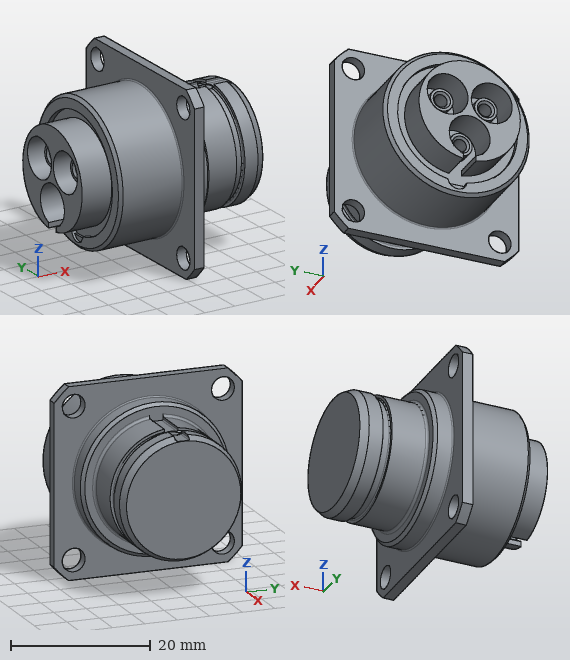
import cadquery as cq
import math


body_front = 4.2
recess_floor = 5.0
flange_front = 14.85
flange_rear = 16.5
body_rear = 19.5
groove_front = 25.2
groove_rear = 26.6
rear_end = 30.0

body_radius = 11.5
body_chamfer = 0.5
flange_fillet = 0.2
spigot_radius = 9.4
spigot_root_fillet = 0.4
groove_radius = 8.77
groove_fillet = 0.2
nose_length = 1.2
nose_drop = 0.6

flange_side = 29.0
flange_corner_radius = 19.0
mount_hole_diameter = 3.5
mount_hole_offset = 11.5

recess_radius = 9.4
insert_radius = 7.95
contact_circle_radius = 4.0
pocket_radius = 3.2
pocket_depth = recess_floor
contact_radius = 1.77
contact_places = ((30, 2.0), (150, 2.0), (270, 3.0))
contact_bore_radius = 1.0
contact_bore_depth = 4.0
contact_lead_in = 0.35
insert_slot_width = 2.0

notch_radius = 1.5
notch_center_z = -9.05
notch_depth = recess_floor - body_front
notch_step_z = -9.75
notch_step_depth = notch_depth / 2

keyway_width = 2.1
keyway_floor_z = 8.83
keyway_fillet = 0.2
spot_diameter = 2.0
spot_floor_z = 8.7


def disc(radius, start, end, y=0.0, z=0.0):
    """Cylinder along X between two axial positions."""
    return cq.Workplane("YZ", origin=(start, y, z)).circle(radius).extrude(end - start)


def make_shell():
    """Solid of revolution for the body, spigot and retaining groove."""
    flange_root = body_radius + flange_fillet
    spigot_root = spigot_radius + spigot_root_fillet
    groove_root = groove_radius + groove_fillet
    arc = math.sqrt(0.5)

    def hollow_arc(sketch, center, radius, toward, end):
        """Concave quarter arc bulging from its center toward the given corner signs."""
        middle = (center[0] + toward[0] * radius * arc, center[1] + toward[1] * radius * arc)
        return sketch.threePointArc(middle, end)

    profile = cq.Workplane("XY").moveTo(body_front, 0)
    profile = profile.lineTo(body_front, body_radius - body_chamfer)
    profile = profile.lineTo(body_front + body_chamfer, body_radius)

    front_x = flange_front - flange_fillet
    profile = profile.lineTo(front_x, body_radius)
    profile = hollow_arc(profile, (front_x, flange_root), flange_fillet, (1, -1), (flange_front, flange_root))

    rear_x = flange_rear + flange_fillet
    profile = profile.lineTo(flange_rear, flange_root)
    profile = hollow_arc(profile, (rear_x, flange_root), flange_fillet, (-1, -1), (rear_x, body_radius))
    profile = profile.lineTo(body_rear - body_chamfer, body_radius)
    profile = profile.lineTo(body_rear, body_radius - body_chamfer)

    root_x = body_rear + spigot_root_fillet
    profile = profile.lineTo(body_rear, spigot_root)
    profile = hollow_arc(profile, (root_x, spigot_root), spigot_root_fillet, (-1, -1), (root_x, spigot_radius))

    left_x = groove_front + groove_fillet
    right_x = groove_rear - groove_fillet
    profile = profile.lineTo(groove_front, spigot_radius).lineTo(groove_front, groove_root)
    profile = hollow_arc(profile, (left_x, groove_root), groove_fillet, (-1, -1), (left_x, groove_radius))
    profile = profile.lineTo(right_x, groove_radius)
    profile = hollow_arc(profile, (right_x, groove_root), groove_fillet, (1, -1), (groove_rear, groove_root))

    profile = profile.lineTo(groove_rear, spigot_radius)
    profile = profile.lineTo(rear_end - nose_length, spigot_radius)
    profile = profile.lineTo(rear_end, spigot_radius - nose_drop)
    profile = profile.lineTo(rear_end, 0).close()
    return profile.revolve(360, (0, 0, 0), (1, 0, 0))


def make_flange():
    """Square plate with arc corners and four mounting holes."""
    thickness = flange_rear - flange_front
    plate = cq.Workplane("YZ", origin=(flange_front, 0, 0)).rect(flange_side, flange_side).extrude(thickness)
    plate = plate.intersect(disc(flange_corner_radius, flange_front, flange_rear))
    for y in (-mount_hole_offset, mount_hole_offset):
        for z in (-mount_hole_offset, mount_hole_offset):
            plate = plate.cut(disc(mount_hole_diameter / 2, flange_front, flange_rear, y, z))
    return plate


def cut_key_notch(shell):
    """Round notch in the recess wall, shallower beyond the step."""
    notch = disc(notch_radius, body_front, body_front + notch_depth, 0, notch_center_z)
    notch_bottom = notch_center_z - notch_radius
    ledge = (
        cq.Workplane("XY", origin=(body_front + notch_step_depth, 0, notch_bottom))
        .rect(notch_depth - notch_step_depth, 2 * notch_radius, centered=(False, True))
        .extrude(notch_step_z - notch_bottom)
    )
    return shell.cut(notch.cut(ledge))


def cut_keyway(shell):
    """Flat-floored keyway along the top of the spigot and the spot on the groove."""
    keyway = (
        cq.Workplane("XY", origin=(body_rear, 0, keyway_floor_z))
        .rect(rear_end - body_rear, keyway_width, centered=(False, True))
        .extrude(body_radius - keyway_floor_z)
        .edges("|X and <Z")
        .fillet(keyway_fillet)
    )
    spot_x = (groove_front + groove_rear) / 2
    spot = (
        cq.Workplane("XY", origin=(spot_x, 0, spot_floor_z))
        .circle(spot_diameter / 2)
        .extrude(body_radius - spot_floor_z)
    )
    return shell.cut(keyway).cut(spot)


def make_contact(face, y, z):
    """Socket contact standing up from its pocket floor."""
    return disc(contact_radius, face, pocket_depth, y, z)


def make_contact_bore(face, y, z):
    """Blind bore of a contact with its 45 degree lead-in."""
    bore = disc(contact_bore_radius, face, face + contact_bore_depth, y, z)
    lead_in = cq.Solid.makeCone(
        contact_bore_radius + contact_lead_in,
        contact_bore_radius,
        contact_lead_in,
        pnt=cq.Vector(face, y, z),
        dir=cq.Vector(1, 0, 0),
    )
    return bore.union(cq.Workplane(lead_in))


def make_insert_slot():
    """Slot that opens the lowest pocket downward along the exposed insert."""
    return (
        cq.Workplane("XY", origin=(0, 0, -recess_radius))
        .rect(recess_floor, insert_slot_width, centered=(False, True))
        .extrude(recess_radius - contact_circle_radius)
    )


def add_insert(shell):
    """Insert with its slot and three contacts standing in open pockets."""
    insert = disc(insert_radius, 0, recess_floor).cut(make_insert_slot())
    body = shell.union(insert)
    for angle, face in contact_places:
        y = contact_circle_radius * math.cos(math.radians(angle))
        z = contact_circle_radius * math.sin(math.radians(angle))
        body = body.cut(disc(pocket_radius, 0, pocket_depth, y, z))
        body = body.union(make_contact(face, y, z))
        body = body.cut(make_contact_bore(face, y, z))
    return body


shell = make_shell().union(make_flange())
shell = shell.cut(disc(recess_radius, body_front, recess_floor))
shell = cut_key_notch(shell)
shell = cut_keyway(shell)
result = add_insert(shell)